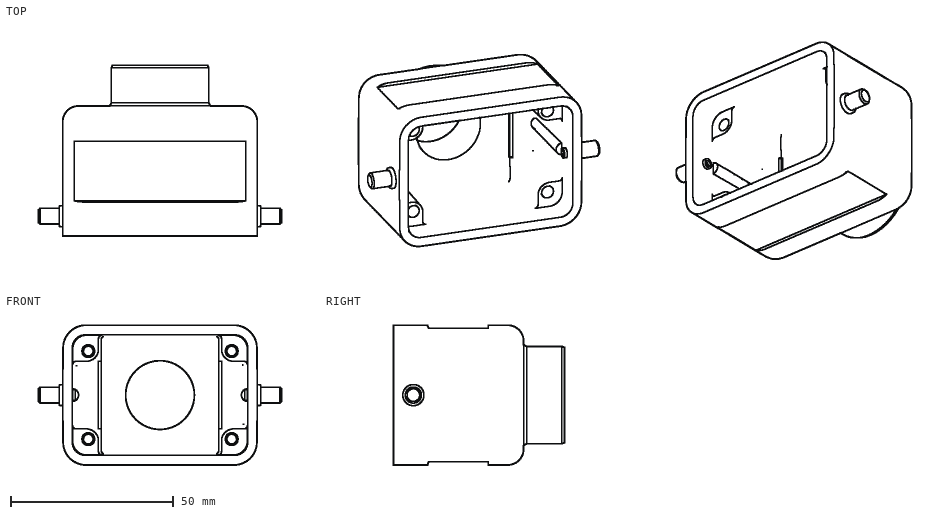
import cadquery as cq
import math

BODY_HALF_WIDTH = 29.9
BODY_HALF_HEIGHT = 21.5
BODY_LENGTH = 40.0
BODY_CORNER_RADIUS = 7.1
BODY_REAR_RADIUS = 4.9
SIDE_DRAFT = 0.5

NECK_DIAMETER = 30.0
NECK_END = 52.5
NECK_CHAMFER = (0.9, 0.4)
NECK_BASE_FLARE = 0.45
NECK_BASE_HEIGHT = 0.9
BORE_DIAMETER = 21.0

WALL = 3.0
CAVITY_HALF_WIDTH = BODY_HALF_WIDTH - WALL
CAVITY_HALF_HEIGHT = BODY_HALF_HEIGHT - WALL
CAVITY_CORNER_RADIUS = BODY_CORNER_RADIUS - WALL
DRAFT = 1.0
LEDGE_DEPTH = 31.3
FLOOR_DEPTH = BODY_LENGTH - WALL
POCKET_HALF_WIDTH = 18.05
INNER_RADIUS = 0.9

POST_DEPTH = 8.95
POST_INNER_X = 18.9
POST_INNER_Z = 10.4
POST_CORNER_RADIUS = 3.7
POST_ROOT_RADIUS = 1.0
SCREW_X = 22.0
SCREW_Z = 13.5
SCREW_TOP_DIAMETER = 3.9
SCREW_BOTTOM_DIAMETER = 3.0
SCREW_DEPTH = 8.95

PIN_DEPTH = 6.1
PIN_END = 37.3
PIN_DIAMETER = 4.9
PIN_CHAMFER = 0.5
COLLAR_DIAMETER = 6.5
COLLAR_HEIGHT = 1.05
COLLAR_FILLET = 0.45
PIN_TAIL_DIAMETER = 3.1
PIN_TAIL_END = 25.95
PIN_TAIL_HOLE = 1.9

RIB_DIAMETER = 3.9
RIB_START = 9.4

LABEL_NEAR = 10.45
LABEL_FAR = 29.1
LABEL_DEPTH = 1.0
LABEL_SLOPE = 0.4

SIDES = (-1, 1)
SLOPING_EDGES = "%LINE and (not #Y)"


def draft_shift(depth):
    """Distance a drafted wall moves in over the given depth."""
    return depth * math.tan(math.radians(DRAFT))


def drafted_block(depth, end_depth, half_width, half_height):
    """Rectangular block between two depths that narrows by the draft towards its far end."""
    near_face = cq.Workplane("XZ", origin=(0, depth, 0)).rect(2 * half_width, 2 * half_height)
    return near_face.extrude(depth - end_depth, taper=DRAFT)


def half_height_at(depth):
    """Half height of the cavity at a depth, between its drafted long walls."""
    return CAVITY_HALF_HEIGHT - draft_shift(depth)


def make_body():
    end_x = BODY_HALF_WIDTH - BODY_HALF_HEIGHT * math.tan(math.radians(SIDE_DRAFT))
    outline = [
        (BODY_HALF_WIDTH, 0),
        (end_x, BODY_HALF_HEIGHT),
        (-end_x, BODY_HALF_HEIGHT),
        (-BODY_HALF_WIDTH, 0),
        (-end_x, -BODY_HALF_HEIGHT),
        (end_x, -BODY_HALF_HEIGHT),
    ]
    body = cq.Workplane("XZ").polyline(outline).close().extrude(-BODY_LENGTH)
    corners = body.edges("|Y").filter(lambda edge: abs(edge.Center().z) > BODY_HALF_HEIGHT / 2)
    return corners.fillet(BODY_CORNER_RADIUS).faces(">Y").edges().fillet(BODY_REAR_RADIUS)


def make_neck():
    radius = NECK_DIAMETER / 2
    flare_radius = radius + NECK_BASE_FLARE
    chamfer_length, chamfer_depth = NECK_CHAMFER
    profile = [
        (0, FLOOR_DEPTH),
        (flare_radius, FLOOR_DEPTH),
        (flare_radius, BODY_LENGTH),
        (radius, BODY_LENGTH + NECK_BASE_HEIGHT),
        (radius, NECK_END - chamfer_length),
        (radius - chamfer_depth, NECK_END),
        (0, NECK_END),
    ]
    return cq.Workplane("XY").polyline(profile).close().revolve(360, (0, 0, 0), (0, 1, 0))


def make_mouth():
    """Open front part of the cavity, from the rim to the ends of the posts."""
    block = drafted_block(0, POST_DEPTH, CAVITY_HALF_WIDTH, CAVITY_HALF_HEIGHT)
    return block.edges(SLOPING_EDGES).fillet(CAVITY_CORNER_RADIUS)


def make_post_level():
    """Cross-shaped part of the cavity between the four posts, down to the ledges."""
    half_width = CAVITY_HALF_WIDTH - draft_shift(POST_DEPTH)
    half_height = half_height_at(POST_DEPTH)
    wide = drafted_block(POST_DEPTH, LEDGE_DEPTH, half_width, POST_INNER_Z)
    tall = drafted_block(POST_DEPTH, LEDGE_DEPTH, POST_INNER_X, half_height)
    cross = wide.union(tall)

    def is_post_corner(edge):
        middle = edge.Center()
        return abs(middle.x) < POST_INNER_X and abs(middle.z) < POST_INNER_Z

    cross = cross.edges(SLOPING_EDGES).filter(is_post_corner).fillet(POST_CORNER_RADIUS)
    cross = cross.edges(SLOPING_EDGES).filter(lambda edge: not is_post_corner(edge)).fillet(POST_ROOT_RADIUS)
    return cross.faces(">Y").edges().fillet(INNER_RADIUS)


def make_pocket():
    """Deepest part of the cavity, in front of the cable entry."""
    start = LEDGE_DEPTH - INNER_RADIUS
    block = drafted_block(start, FLOOR_DEPTH, POCKET_HALF_WIDTH, half_height_at(start))
    return block.edges(SLOPING_EDGES).fillet(INNER_RADIUS).faces(">Y").edges().fillet(INNER_RADIUS)


def make_ledge_rounding():
    """Strips that round the ledge edges between the posts, drawn at +X and mirrored."""
    edge_x = POCKET_HALF_WIDTH
    radius = INNER_RADIUS
    strip = (
        cq.Workplane("XY")
        .moveTo(edge_x, LEDGE_DEPTH)
        .lineTo(edge_x + radius, LEDGE_DEPTH)
        .radiusArc((edge_x, LEDGE_DEPTH + radius), -radius)
        .close()
        .extrude(POST_INNER_Z, both=True)
    )
    return strip.union(strip.mirror("YZ"))


def make_screw_holes():
    hole = cq.Solid.makeCone(
        SCREW_TOP_DIAMETER / 2,
        SCREW_BOTTOM_DIAMETER / 2,
        SCREW_DEPTH,
        cq.Vector(0, POST_DEPTH, 0),
        cq.Vector(0, 1, 0),
    )
    places = [(x * SCREW_X, 0, z * SCREW_Z) for x in SIDES for z in SIDES]
    return cq.Workplane("XY").pushPoints(places).eachpoint(hole)


def make_pin():
    """Locking pin at +X: a turned part through the wall with a hollow tail inside."""
    collar_end = BODY_HALF_WIDTH + COLLAR_HEIGHT
    wall_middle = BODY_HALF_WIDTH - WALL / 2
    axis_plane = cq.Workplane("YZ", origin=(wall_middle, PIN_DEPTH, 0))
    shank = axis_plane.circle(PIN_DIAMETER / 2).extrude(PIN_END - wall_middle)
    shank = shank.faces(">X").chamfer(PIN_CHAMFER)
    collar = axis_plane.circle(COLLAR_DIAMETER / 2).extrude(collar_end - wall_middle)
    collar = collar.faces(">X").edges().fillet(COLLAR_FILLET)
    tail = axis_plane.circle(PIN_TAIL_DIAMETER / 2).circle(PIN_TAIL_HOLE / 2).extrude(PIN_TAIL_END - wall_middle)
    return shank.union(collar).union(tail)


def make_rib():
    """Half-round guide rib on the end wall at +X, running down to the ledge."""
    rib = cq.Workplane("XZ", origin=(CAVITY_HALF_WIDTH, RIB_START, 0)).circle(RIB_DIAMETER / 2)
    return rib.extrude(RIB_START - LEDGE_DEPTH)


def make_label_recess():
    """Recess on the +Z face, open at both ends where the corners round away."""
    floor_z = BODY_HALF_HEIGHT - LABEL_DEPTH
    profile = [
        (LABEL_NEAR, BODY_HALF_HEIGHT),
        (LABEL_NEAR + LABEL_SLOPE, floor_z),
        (LABEL_FAR, floor_z),
        (LABEL_FAR, BODY_HALF_HEIGHT),
    ]
    return cq.Workplane("YZ").polyline(profile).close().extrude(BODY_HALF_WIDTH, both=True)


shell = make_body().union(make_neck())
for cavity in (make_mouth(), make_post_level(), make_pocket(), make_ledge_rounding()):
    shell = shell.cut(cavity)
bore = cq.Workplane("XZ").circle(BORE_DIAMETER / 2).extrude(-NECK_END)
shell = shell.cut(bore).cut(make_screw_holes())

recess = make_label_recess()
shell = shell.cut(recess).cut(recess.mirror("XY"))

for part in (make_rib(), make_pin()):
    shell = shell.union(part).union(part.mirror("YZ"))

result = shell